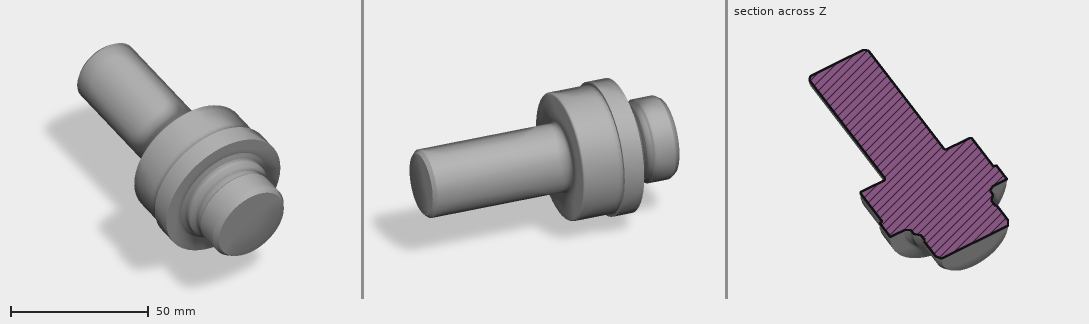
import math

import cadquery as cq

SHOULDER_X = 54.1
FLANGE_X = 69.6
SEAT_X = 77.2
TAPER_START_X = 80.45
TAPER_END_X = 82.4
PILOT_X = 85.4
LENGTH = 95.25

SHANK_DIAMETER = 25.4
BODY_DIAMETER = 47.63
FLANGE_DIAMETER = 49.91
SEAT_DIAMETER = 34.0
NECK_DIAMETER = 30.1
PILOT_DIAMETER = 31.1

SHANK_CHAMFER = 1.3
ROOT_FILLET = 0.8
BODY_FILLET = 0.8
SEAT_CONE_LENGTH = 0.9
SEAT_CONE_ANGLE = math.radians(60)
SEAT_FILLET = 0.75
NECK_STEP_LENGTH = 0.6
PILOT_CHAMFER_LENGTH = 2.0
PILOT_CHAMFER_DEPTH = 1.3

DIAGONAL = math.cos(math.radians(45))


def make_half_profile():
    """Closed half section in the XZ plane, on the +Z side of the X axis."""
    shank = SHANK_DIAMETER / 2
    body = BODY_DIAMETER / 2
    flange = FLANGE_DIAMETER / 2
    seat = SEAT_DIAMETER / 2
    neck = NECK_DIAMETER / 2
    pilot = PILOT_DIAMETER / 2

    root_sag = ROOT_FILLET * (1 - DIAGONAL)
    body_sag = BODY_FILLET * (1 - DIAGONAL)

    cone_end_x = SEAT_X + SEAT_CONE_LENGTH
    cone_end_radius = seat + SEAT_FILLET * (1 - math.cos(SEAT_CONE_ANGLE))
    cone_start_radius = cone_end_radius + SEAT_CONE_LENGTH * math.tan(SEAT_CONE_ANGLE)
    seat_start_x = cone_end_x + SEAT_FILLET * math.sin(SEAT_CONE_ANGLE)
    fillet_middle_x = seat_start_x - SEAT_FILLET * math.sin(SEAT_CONE_ANGLE / 2)
    fillet_middle_radius = seat + SEAT_FILLET * (1 - math.cos(SEAT_CONE_ANGLE / 2))

    return (
        cq.Workplane("XZ")
        .moveTo(0, 0)
        .lineTo(0, shank - SHANK_CHAMFER)
        .lineTo(SHANK_CHAMFER, shank)
        .lineTo(SHOULDER_X - ROOT_FILLET, shank)
        .threePointArc((SHOULDER_X - root_sag, shank + root_sag), (SHOULDER_X, shank + ROOT_FILLET))
        .lineTo(SHOULDER_X, body - BODY_FILLET)
        .threePointArc((SHOULDER_X + body_sag, body - body_sag), (SHOULDER_X + BODY_FILLET, body))
        .lineTo(FLANGE_X, body)
        .lineTo(FLANGE_X, flange)
        .lineTo(SEAT_X, flange)
        .lineTo(SEAT_X, cone_start_radius)
        .lineTo(cone_end_x, cone_end_radius)
        .threePointArc((fillet_middle_x, fillet_middle_radius), (seat_start_x, seat))
        .lineTo(TAPER_START_X, seat)
        .lineTo(TAPER_END_X, neck)
        .lineTo(PILOT_X - NECK_STEP_LENGTH, neck)
        .lineTo(PILOT_X, pilot)
        .lineTo(LENGTH - PILOT_CHAMFER_LENGTH, pilot)
        .lineTo(LENGTH, pilot - PILOT_CHAMFER_DEPTH)
        .lineTo(LENGTH, 0)
        .close()
    )


result = make_half_profile().revolve(360, (0, 0, 0), (1, 0, 0))